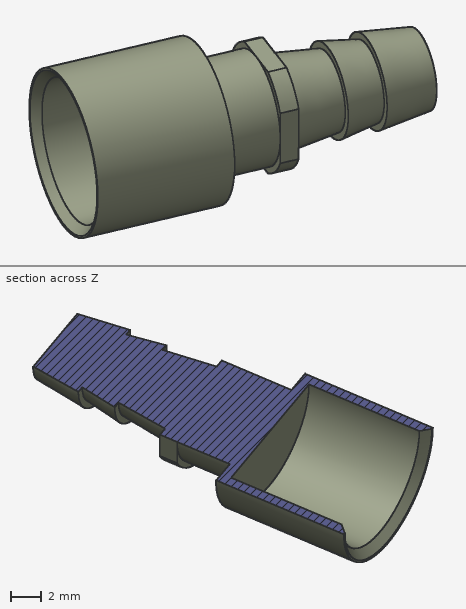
import cadquery as cq

socket_diameter = 11.5
socket_length = 9.8
bore_diameter = 10.0
rim_diameter = 11.2
rim_chamfer_depth = (rim_diameter - bore_diameter) / 2
floor_thickness = (socket_diameter - bore_diameter) / 2
bore_depth = socket_length - floor_thickness

neck_diameter = 8.0
collar_start = 13.8
collar_end = 15.12
collar_diameter = 8.92
collar_flats_width = neck_diameter

total_length = 25.5
barb_large_diameter = 6.7
barb_small_diameter = 5.7
barb_starts = [collar_end, 18.95, 21.73]
barb_ends = barb_starts[1:] + [total_length]

base_plane = cq.Plane(origin=(0, 0, 0), xDir=(1, 0, 0), normal=(0, 1, 0))


def section_at(y):
    """Work plane across the part axis at the given y."""
    return cq.Workplane(base_plane).workplane(offset=y)


def cone(start, end, start_diameter, end_diameter):
    """Truncated cone on the part axis."""
    return (
        cq.Workplane("XY")
        .moveTo(0, start)
        .lineTo(start_diameter / 2, start)
        .lineTo(end_diameter / 2, end)
        .lineTo(0, end)
        .close()
        .revolve(360, (0, 0, 0), (0, 1, 0))
    )


def make_socket():
    body = section_at(0).circle(socket_diameter / 2).extrude(socket_length)
    bore = section_at(0).circle(bore_diameter / 2).extrude(bore_depth)
    chamfer = cone(0, rim_chamfer_depth, rim_diameter, bore_diameter)
    return body.cut(bore).cut(chamfer)


def make_neck():
    return section_at(socket_length).circle(neck_diameter / 2).extrude(collar_start - socket_length)


def make_collar():
    collar_length = collar_end - collar_start
    disc = section_at(collar_start).circle(collar_diameter / 2).extrude(collar_length)
    square = section_at(collar_start).rect(collar_flats_width, collar_flats_width).extrude(collar_length)
    return disc.intersect(square)


result = make_socket().union(make_neck()).union(make_collar())
for barb_start, barb_end in zip(barb_starts, barb_ends):
    result = result.union(cone(barb_start, barb_end, barb_large_diameter, barb_small_diameter))